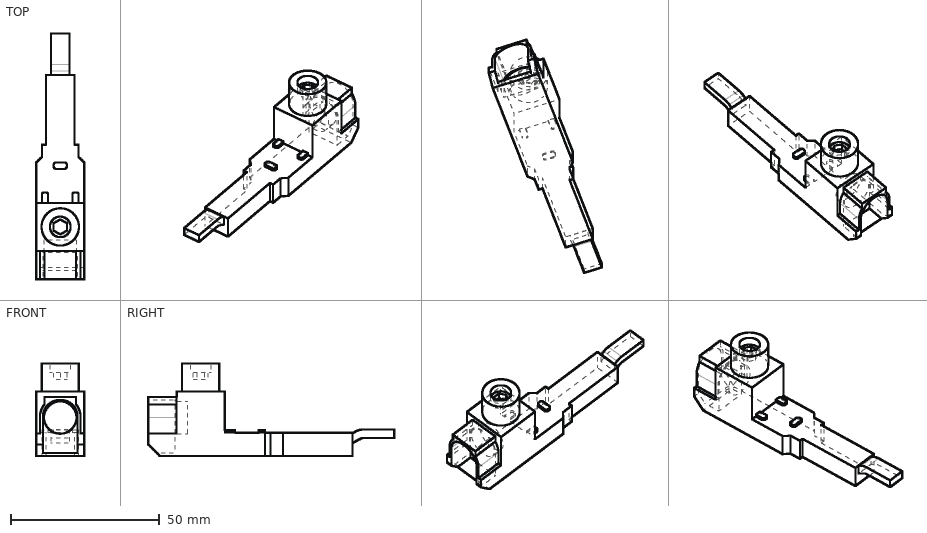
import cadquery as cq
import math

total_length = 82.6
body_width = 16.2
body_end = 68.6
deck_height = 7.9
shoulder_start = 39.2
shoulder_end = 41.05
shoulder_width = 12.4
neck_start = 45.2
neck_width = 9.7

hood_length = 9.5
block_length = body_width
block_back = hood_length + block_length
block_height = 21.7
shelf_height = 7.7
nose_chamfer = 4.0
arch_center_height = 13.05
hood_radius = 6.85
hood_top_width = 10.7
hood_height = 19.9

mouth_radius = 5.9
mouth_floor = 1.1
mouth_depth = 9.0
bore_radius = 5.45
bore_height = 13.0
bore_depth = 4.1

turret_y = hood_length + block_length / 2
turret_radius = 6.3
turret_top = 31.1
recess_radius = 3.5
recess_depth = 3.0
hex_across_flats = 4.4
hex_depth = 2.5

pad_width = 2.15
pad_height = 0.8
pad_corner = 0.75
cross_pad_length = 4.4
cross_pad_y = 38.2
side_pad_x = 5.1
side_pad_length = 3.5

tongue_width = 6.3
tongue_top = 9.0
tongue_thickness = 3.0
crank_end = 72.1
crank_angle = 28.0
crank_outer_radius = 4.7


def box(width, y_start, y_end, z_start, z_end):
    """Box centred on X between the given Y and Z limits."""
    return (
        cq.Workplane("XY")
        .box(width, y_end - y_start, z_end - z_start, centered=(True, False, False))
        .translate((0, y_start, z_start))
    )


def along_y(sketch_y):
    """XZ workplane at sketch_y whose negative extrusions run toward +Y."""
    return cq.Workplane("XZ", origin=(0, sketch_y, 0))


def make_base():
    right_side = [
        (body_width / 2, 0),
        (body_width / 2, shoulder_start),
        (shoulder_width / 2, shoulder_end),
        (shoulder_width / 2, neck_start),
        (neck_width / 2, neck_start),
        (neck_width / 2, body_end),
    ]
    left_side = [(-x, y) for x, y in reversed(right_side)]
    base = cq.Workplane("XY").polyline(right_side + left_side).close().extrude(deck_height)
    base = base.cut(box(body_width, 0, hood_length, shelf_height, deck_height))
    return base.faces("<Y").edges("<Z").chamfer(nose_chamfer)


def make_hood():
    half_top = hood_top_width / 2
    arch_meet = arch_center_height + math.sqrt(hood_radius**2 - half_top**2)
    mid_angle = math.atan2(arch_meet - arch_center_height, half_top) / 2
    mid_x = hood_radius * math.cos(mid_angle)
    mid_z = arch_center_height + hood_radius * math.sin(mid_angle)
    return (
        along_y(0)
        .moveTo(-hood_radius, shelf_height)
        .lineTo(hood_radius, shelf_height)
        .lineTo(hood_radius, arch_center_height)
        .threePointArc((mid_x, mid_z), (half_top, arch_meet))
        .lineTo(half_top, hood_height)
        .lineTo(-half_top, hood_height)
        .lineTo(-half_top, arch_meet)
        .threePointArc((-mid_x, mid_z), (-hood_radius, arch_center_height))
        .close()
        .extrude(-hood_length)
    )


def make_mouth():
    return (
        along_y(0)
        .moveTo(-mouth_radius, mouth_floor)
        .lineTo(mouth_radius, mouth_floor)
        .lineTo(mouth_radius, arch_center_height)
        .threePointArc((0, arch_center_height + mouth_radius), (-mouth_radius, arch_center_height))
        .close()
        .extrude(-mouth_depth)
    )


def make_bore():
    return along_y(mouth_depth).center(0, bore_height).circle(bore_radius).extrude(-bore_depth)


def make_turret():
    hex_circumscribed_diameter = hex_across_flats / math.cos(math.pi / 6)
    turret = (
        cq.Workplane("XY", origin=(0, turret_y, block_height))
        .circle(turret_radius)
        .extrude(turret_top - block_height)
    )
    recess_floor = turret_top - recess_depth
    recess = (
        cq.Workplane("XY", origin=(0, turret_y, recess_floor))
        .circle(recess_radius)
        .extrude(recess_depth)
    )
    socket = (
        cq.Workplane("XY", origin=(0, turret_y, recess_floor))
        .transformed(rotate=(0, 0, 90))
        .polygon(6, hex_circumscribed_diameter)
        .extrude(-hex_depth)
    )
    return turret.cut(recess).cut(socket)


def make_pads():
    top = deck_height + pad_height
    cross_pad = box(
        cross_pad_length, cross_pad_y - pad_width / 2, cross_pad_y + pad_width / 2, deck_height, top
    )
    pads = cross_pad.edges("|Z").fillet(pad_corner)
    side_pad = box(pad_width, block_back, block_back + side_pad_length, deck_height, top)
    side_pad = side_pad.faces(">Y").edges("|Z").fillet(pad_corner)
    for x in (-side_pad_x, side_pad_x):
        pads = pads.add(side_pad.translate((x, 0, 0)))
    return pads.combine()


def make_tongue():
    center_z = tongue_top - crank_outer_radius
    inner_radius = crank_outer_radius - tongue_thickness

    def bend_point(radius, degrees):
        angle = math.radians(degrees)
        return crank_end - radius * math.sin(angle), center_z + radius * math.cos(angle)

    def slope_end(radius):
        y, z = bend_point(radius, crank_angle)
        return body_end, z - (y - body_end) * math.tan(math.radians(crank_angle))

    half_bend = crank_angle / 2
    return (
        cq.Workplane("YZ", origin=(-tongue_width / 2, 0, 0))
        .moveTo(*slope_end(inner_radius))
        .lineTo(*bend_point(inner_radius, crank_angle))
        .threePointArc(bend_point(inner_radius, half_bend), bend_point(inner_radius, 0))
        .lineTo(total_length, tongue_top - tongue_thickness)
        .lineTo(total_length, tongue_top)
        .lineTo(crank_end, tongue_top)
        .threePointArc(
            bend_point(crank_outer_radius, half_bend), bend_point(crank_outer_radius, crank_angle)
        )
        .lineTo(*slope_end(crank_outer_radius))
        .close()
        .extrude(tongue_width)
    )


block = box(body_width, hood_length, block_back, 0, block_height)
result = make_base().union(block).union(make_hood())
result = result.cut(make_mouth()).cut(make_bore())
for feature in (make_turret(), make_pads(), make_tongue()):
    result = result.union(feature)